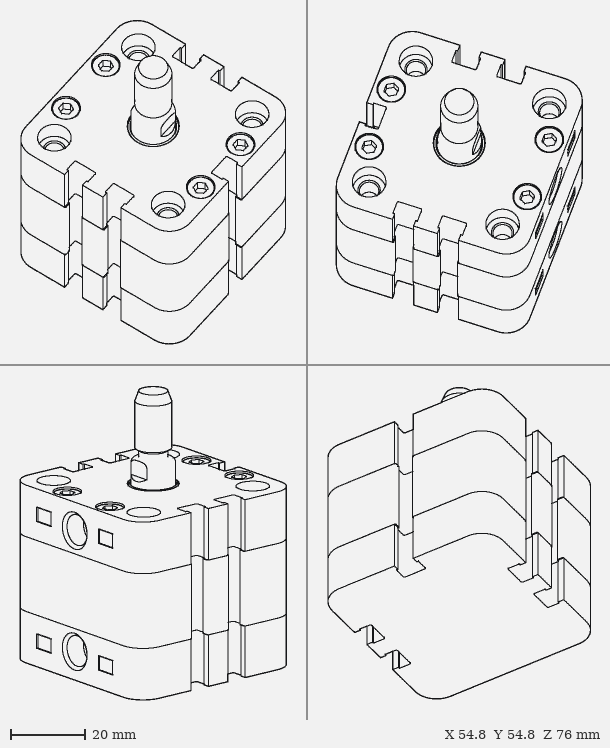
import cadquery as cq
import math


body_width = 54.8
corner_radius = 6.8
body_height = 50.0
cap_height = 14.5
barrel_height = body_height - 2 * cap_height
half_width = body_width / 2
barrel_top = cap_height + barrel_height

slot_depth = 5.5
slot_width = 7.0
cap_slot_lip = 1.8
barrel_slot_lip = 2.0
slot_offset = 6.4
cap_mouth_width = 6.0
barrel_mouth_width = 5.4
barrel_lip_fillet = 0.25
slot_floor_fillet = 0.4

port_diameter = 8.57
port_chamfer = 0.9
port_end_distance = 8.0
core_diameter = 42.5

label_width = 6.0
label_height = 4.0
label_depth = 0.4
label_offset = 13.0
label_end_distance = 7.2

mount_spacing = 38.0
mount_counterbore_diameter = 9.0
mount_counterbore_depth = 5.3
mount_hole_diameter = 5.2
mount_chamfer_diameter = 6.0
mount_hole_depth = 12.0

screw_spacing_x = 45.0
screw_spacing_y = 18.0
screw_recess_diameter = 7.7
screw_head_diameter = 7.5
screw_head_face_diameter = 7.2
screw_recess_depth = 0.4
screw_gap_depth = 1.0
socket_sides = 6
socket_across_flats = 3.5
socket_depth = 3.0

wiper_outer_diameter = 14.0
wiper_groove_diameter = 13.7
wiper_lip_diameter = 12.54
wiper_edge_chamfer = 0.15
wiper_groove_depth = 0.8

rod_diameter = 12.0
rod_length = 26.0
rod_seat = cap_height
thread_diameter = 10.0
thread_length = 15.9
thread_tip_diameter = 7.9
thread_tip_length = 2.8
neck_diameter = 7.9
thread_run_out = 0.7
neck_length = 2.2
neck_fillet = 0.2
shoulder_fillet = 1.3
flat_width = 10.0
flat_height = 2.7


def revolved(profile):
    """Solid of revolution about the Z axis from (radius, height) points."""
    return cq.Workplane("XZ").polyline(profile).close().revolve(360, (0, 0, 0), (0, 1, 0))


def block(height, base):
    """Square block with rounded vertical edges."""
    return (
        cq.Workplane("XY", origin=(0, 0, base))
        .rect(body_width, body_width)
        .extrude(height)
        .edges("|Z")
        .fillet(corner_radius)
    )


def slot_cutter(mouth_width, lip, height, base):
    """T-slot with rounded floor corners, opening toward -Y at x = 0."""
    mouth = cq.Workplane("XY", origin=(0, lip / 2 - half_width, base)).rect(mouth_width, lip).extrude(height)
    pocket_center = (lip + slot_depth) / 2 - half_width
    pocket = (
        cq.Workplane("XY", origin=(0, pocket_center, base))
        .rect(slot_width, slot_depth - lip)
        .extrude(height)
        .faces(">Y")
        .edges("|Z")
        .fillet(slot_floor_fillet)
    )
    return mouth.union(pocket)


def slot_places(cutter):
    """The slot repeated twice on each Y side and once on the +X side."""
    axis = ((0, 0, 0), (0, 0, 1))
    places = [cutter.rotate(*axis, 90)]
    for offset in (-slot_offset, slot_offset):
        for turn in (0, 180):
            places.append(cutter.translate((offset, 0, 0)).rotate(*axis, turn))
    return places


def slotted_block(height, base, mouth_width, lip):
    """Rounded block with all its T-slots cut through its height."""
    body = block(height, base)
    for cutter in slot_places(slot_cutter(mouth_width, lip, height, base)):
        body = body.cut(cutter)
    return body


def port_cutter(height):
    """Chamfered port hole that stops at the core cylinder."""
    side = cq.Workplane("YZ", origin=(-half_width, 0, height))
    hole = side.circle(port_diameter / 2).extrude(half_width)
    mouth = cq.Workplane(
        cq.Solid.makeCone(
            port_diameter / 2 + port_chamfer,
            port_diameter / 2,
            port_chamfer,
            pnt=cq.Vector(-half_width, 0, height),
            dir=cq.Vector(1, 0, 0),
        )
    )
    core = cq.Workplane("XY").circle(core_diameter / 2).extrude(body_height)
    return hole.union(mouth).cut(core)


def label_cutter(height):
    return (
        cq.Workplane("YZ", origin=(-half_width, 0, height))
        .pushPoints([(-label_offset, 0), (label_offset, 0)])
        .rect(label_width, label_height)
        .extrude(label_depth)
    )


def cut_mounting_holes(cap):
    chamfer = (mount_chamfer_diameter - mount_hole_diameter) / 2
    ledge = -mount_counterbore_depth
    profile = [
        (0, 0),
        (mount_counterbore_diameter / 2, 0),
        (mount_counterbore_diameter / 2, ledge),
        (mount_chamfer_diameter / 2, ledge),
        (mount_hole_diameter / 2, ledge - chamfer),
        (mount_hole_diameter / 2, -mount_hole_depth),
        (0, -mount_hole_depth),
    ]
    cutter = revolved(profile)
    for x in (-mount_spacing / 2, mount_spacing / 2):
        for y in (-mount_spacing / 2, mount_spacing / 2):
            cap = cap.cut(cutter.translate((x, y, body_height)))
    return cap


def cut_screw_heads(cap):
    """Recess, gap around the head and hexagon socket of each screw."""
    head_chamfer = (screw_head_diameter - screw_head_face_diameter) / 2
    around_head = [
        (0, 0),
        (screw_recess_diameter / 2, 0),
        (screw_recess_diameter / 2, -screw_gap_depth),
        (screw_head_diameter / 2, -screw_gap_depth),
        (screw_head_diameter / 2, -screw_recess_depth - head_chamfer),
        (screw_head_face_diameter / 2, -screw_recess_depth),
        (0, -screw_recess_depth),
    ]
    half_side_angle = 180 / socket_sides
    socket_diameter = socket_across_flats / math.cos(math.radians(half_side_angle))
    socket = cq.Workplane("XY").polygon(socket_sides, socket_diameter).extrude(-socket_depth)
    socket = socket.rotate((0, 0, 0), (0, 0, 1), half_side_angle)
    cutter = revolved(around_head).union(socket)
    for x in (-screw_spacing_x / 2, screw_spacing_x / 2):
        for y in (-screw_spacing_y / 2, screw_spacing_y / 2):
            cap = cap.cut(cutter.translate((x, y, body_height)))
    return cap


def cut_rod_opening(cap):
    """Rod bore, and a V groove around it that leaves a cone-shaped wiper lip."""
    top = body_height
    floor = top - wiper_groove_depth
    bore = [
        (0, top),
        (wiper_lip_diameter / 2, top),
        (wiper_lip_diameter / 2, floor),
        (rod_diameter / 2, floor),
        (rod_diameter / 2, top - rod_seat),
        (0, top - rod_seat),
    ]
    groove = [
        (wiper_outer_diameter / 2, top),
        (wiper_groove_diameter / 2, top - wiper_edge_chamfer),
        (wiper_groove_diameter / 2, floor),
        (wiper_lip_diameter / 2, top),
    ]
    for profile in (bore, groove):
        cap = cap.cut(revolved(profile))
    return cap


def make_bottom_cap():
    cap = slotted_block(cap_height, 0, cap_mouth_width, cap_slot_lip)
    return cap.cut(port_cutter(port_end_distance)).cut(label_cutter(label_end_distance))


def make_barrel():
    barrel = slotted_block(barrel_height, cap_height, barrel_mouth_width, barrel_slot_lip)
    for y in (-half_width, barrel_slot_lip - half_width):
        marker = (
            cq.Workplane("XY", origin=(0, y, cap_height))
            .rect(barrel_mouth_width + barrel_lip_fillet, barrel_lip_fillet)
            .extrude(barrel_height)
        )
        for place in slot_places(marker):
            box = place.val().BoundingBox()
            selector = cq.selectors.BoxSelector(
                (box.xmin, box.ymin, box.zmin), (box.xmax, box.ymax, box.zmax)
            )
            barrel = barrel.edges("|Z").edges(selector).fillet(barrel_lip_fillet)
    return barrel


def make_top_cap():
    cap = slotted_block(cap_height, barrel_top, cap_mouth_width, cap_slot_lip)
    cap = cap.cut(port_cutter(body_height - port_end_distance))
    cap = cap.cut(label_cutter(body_height - label_end_distance))
    cap = cut_mounting_holes(cap)
    cap = cut_screw_heads(cap)
    return cut_rod_opening(cap)


def make_rod():
    tip = body_height + rod_length
    thread_end = tip - thread_length
    neck_top = thread_end - thread_run_out
    shoulder = neck_top - neck_length
    rod = (
        cq.Workplane("XZ")
        .moveTo(0, body_height - rod_seat)
        .lineTo(rod_diameter / 2, body_height - rod_seat)
        .lineTo(rod_diameter / 2, shoulder - shoulder_fillet)
        .radiusArc((rod_diameter / 2 - shoulder_fillet, shoulder), -shoulder_fillet)
        .lineTo(neck_diameter / 2 + neck_fillet, shoulder)
        .radiusArc((neck_diameter / 2, shoulder + neck_fillet), neck_fillet)
        .lineTo(neck_diameter / 2, neck_top)
        .lineTo(thread_diameter / 2, thread_end)
        .lineTo(thread_diameter / 2, tip - thread_tip_length)
        .lineTo(thread_tip_diameter / 2, tip)
        .lineTo(0, tip)
        .close()
        .revolve(360, (0, 0, 0), (0, 1, 0))
    )
    run_out = (rod_diameter - flat_width) / 2
    flat_bottom = body_height + flat_height
    for side in (-1, 1):
        flat = (
            cq.Workplane("XZ")
            .moveTo(side * flat_width / 2, flat_bottom)
            .lineTo(side * rod_diameter / 2, flat_bottom - run_out)
            .lineTo(side * rod_diameter / 2, shoulder)
            .lineTo(side * flat_width / 2, shoulder)
            .close()
            .extrude(rod_diameter / 2, both=True)
        )
        rod = rod.cut(flat)
    return rod


bottom_cap = make_bottom_cap()
barrel = make_barrel()
top_cap = make_top_cap()
rod = make_rod()

result = cq.Compound.makeCompound([bottom_cap.val(), barrel.val(), top_cap.val(), rod.val()])